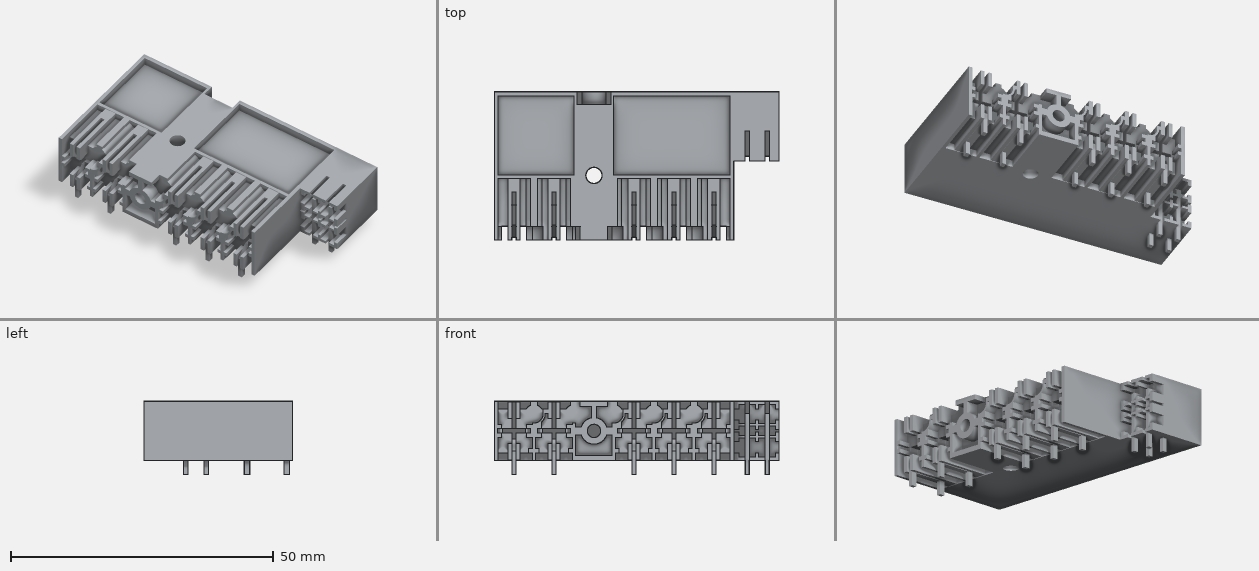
import cadquery as cq

LENGTH = 54.31
DEPTH = 28.3
HEIGHT = 11.3
MID_Z = HEIGHT / 2
PIN_DROP = 2.7
WALL = 0.65
END_WALL = 0.73
OVERLAP = 0.1

PITCH = 7.62
POLE_HALF = 3.03
FIRST_POLE = END_WALL + POLE_HALF
POLES = [FIRST_POLE + PITCH * i for i in (0, 1, 3, 4, 5)]
SCREW_X = FIRST_POLE + PITCH * 2
LAST_POLE = POLES[-1]
POWER_INNER_END = LAST_POLE + POLE_HALF
RIGHT_WALL = 0.78
POWER_END = POWER_INNER_END + RIGHT_WALL

FRONT_Y = 2.65
CHANNEL_Y = 11.78
CHANNEL_DROP = 1.47
CHANNEL_TOP = HEIGHT - CHANNEL_DROP

FIN_HALF = 1.18
FIN_INSET = 0.1
FIN_INNER = 2.37
PIN_WIDTH = 0.82
SLOT_END_Y = 9.22

BLADE_SLOT_HALF_Z = 0.43
BLADE_SLOT_HALF_X = 3.11
BLADE_INNER_HALF_X = 2.21
BLADE_END_Y = 6.7

GAP_OFFSET = PITCH / 2
GAPS = [SCREW_X - GAP_OFFSET, SCREW_X + GAP_OFFSET]
GAPS += [POLES[0] + GAP_OFFSET, POLES[2] + GAP_OFFSET, POLES[3] + GAP_OFFSET]
GUTTER_GAPS = GAPS[1:]
POST_HALF = WALL / 2
SHOULDER_REACH = 1.44
SHOULDER_HALF_Z = 1.23
FOOT_REACH = 1.0
FOOT_HEIGHT = 0.82
RIDGE_R = 1.75
RIDGE_Z = 8.9
GUTTER_OUTER_R = 2.15
POST_TOP = RIDGE_Z - RIDGE_R
BRIDGE_BOTTOM = 9.0
DIVIDER_HALF = 0.65

MOUNT_BOSS_R = 2.54
MOUNT_HOLE_R = 1.27
MOUNT_HOLE_DEPTH = 9.0
MOUNT_ARM_HALF_Z = 0.74
MOUNT_WEB_HALF = 0.49
MOUNT_PLATE_HALF = 2.62
MOUNT_PLATE_THICK = 0.98
MOUNT_FLOOR = 0.98
VERTICAL_HOLE_R = 1.52
VERTICAL_HOLE_Y = 12.35

NOTCH_HALF = 3.27
NOTCH_Y = 25.87
NOTCH_BOSS_R = 2.3

POCKET_FRONT = CHANNEL_Y + WALL
POCKET_REAR_WALL = 0.84
POCKET_BACK = DEPTH - POCKET_REAR_WALL
POCKET_DEPTH = 1.7
POCKET_GAP_HALF = 3.76

SIGNAL_Y = 15.05
SIGNAL_PITCH = PITCH / 2
SIGNAL_END_MARGIN = 2.3
SIGNAL_PINS = [LENGTH - SIGNAL_END_MARGIN - SIGNAL_PITCH, LENGTH - SIGNAL_END_MARGIN]
SIGNAL_MID = sum(SIGNAL_PINS) / 2
SIGNAL_RECESS_Y = 18.1
SIGNAL_SLOT_Y = 20.78
SIGNAL_LIP_EDGE = 1.58
SIGNAL_LIP_HALF = 0.29
SIGNAL_BAR_OFFSET = 1.145
SIGNAL_BAR_HALF = 0.25
SIGNAL_LIP_HALF_Z = 0.9
SIGNAL_PIN_FRONT = 16.0
SIGNAL_PIN_TOP = 9.0
SIGNAL_PIN_WIDTH = 0.8
SIGNAL_LEG = 0.9

PIN_FRONT = 0.55
PIN_LEG = 1.1
PIN_SLOPE_BOTTOM = 1.8
PIN_SLOPE_END = 2.86
PIN_LOW_TOP = 4.09


def block(x0, x1, y0, y1, z0, z1):
    return cq.Workplane("XY").box(x1 - x0, y1 - y0, z1 - z0, centered=False).translate((x0, y0, z0))


def rod(x, z, radius, y0, y1):
    """Cylinder along Y."""
    return cq.Workplane("XZ", origin=(x, y0, z)).circle(radius).extrude(y0 - y1)


def plate(x, width, outline):
    """Upright plate centred on x from a (y, z) outline."""
    return cq.Workplane("YZ", origin=(x - width / 2, 0, 0)).polyline(outline).close().extrude(width)


def join(pieces):
    total = pieces[0]
    for piece in pieces[1:]:
        total = total.union(piece)
    return total


def make_body():
    """L-shaped housing with the front left open and channels above and below the poles."""
    body = block(0, POWER_END, 0, DEPTH, 0, HEIGHT)
    body = body.union(block(POWER_END - OVERLAP, LENGTH, SIGNAL_Y, DEPTH, 0, HEIGHT))
    body = body.cut(block(END_WALL, POWER_INNER_END, 0, FRONT_Y, 0, HEIGHT))
    screw_left, screw_right = GAPS[:2]
    for left, right in ((END_WALL, screw_left), (screw_right, POWER_INNER_END)):
        left_inset = DIVIDER_HALF if left == screw_right else 0
        right_inset = DIVIDER_HALF if right == screw_left else 0
        body = body.cut(block(left + left_inset, right - right_inset,
                              FRONT_Y, CHANNEL_Y, CHANNEL_TOP, HEIGHT))
        left_inset = POST_HALF if left == screw_right else 0
        right_inset = POST_HALF if right == screw_left else 0
        body = body.cut(block(left + left_inset, right - right_inset,
                              FRONT_Y, CHANNEL_Y, 0, CHANNEL_DROP))
    return body


def cut_top_pockets(body):
    floor = HEIGHT - POCKET_DEPTH
    for left, right in ((END_WALL, SCREW_X - POCKET_GAP_HALF), (SCREW_X + POCKET_GAP_HALF, POWER_INNER_END)):
        body = body.cut(block(left, right, POCKET_FRONT, POCKET_BACK, floor, HEIGHT))
    return body


def make_gap(x):
    """Post, feet, shoulders and channel ridge halfway between two poles."""
    frame_back = FRONT_Y + OVERLAP
    pieces = [
        block(x - POST_HALF, x + POST_HALF, 0, CHANNEL_Y + OVERLAP, 0, CHANNEL_TOP - OVERLAP)
        .cut(block(x - POST_HALF, x + POST_HALF, 0, FRONT_Y, POST_TOP, HEIGHT)),
        rod(x, RIDGE_Z, RIDGE_R, FRONT_Y, CHANNEL_Y + OVERLAP),
        block(x - DIVIDER_HALF, x + DIVIDER_HALF, FRONT_Y, CHANNEL_Y + OVERLAP, RIDGE_Z, HEIGHT),
    ]
    low = MID_Z - SHOULDER_HALF_Z
    high = MID_Z + SHOULDER_HALF_Z
    for side in (-1, 1):
        if abs(x + side * GAP_OFFSET - SCREW_X) < OVERLAP:
            continue
        foot = sorted((x, x + side * FOOT_REACH))
        shoulder = sorted((x, x + side * SHOULDER_REACH))
        pieces.append(block(*foot, 0, frame_back, CHANNEL_DROP, CHANNEL_DROP + FOOT_HEIGHT))
        pieces.append(block(*shoulder, 0, frame_back, low, high))
    return join(pieces)


def make_gutter(x):
    """Curved front wall that rises from the post and bridges to the next fin."""
    back = FRONT_Y + OVERLAP
    left = x - POST_HALF
    fin = x + GAP_OFFSET - FIN_HALF
    web_top = RIDGE_Z - RIDGE_R / 2
    wall = rod(x, RIDGE_Z, GUTTER_OUTER_R, 0, back)
    wall = wall.intersect(block(left, fin, 0, back, 0, CHANNEL_TOP))
    wall = wall.union(block(left, x + SHOULDER_REACH, 0, back, MID_Z, web_top))
    wall = wall.union(block(x, fin + OVERLAP, 0, back, BRIDGE_BOTTOM, CHANNEL_TOP))
    wall = wall.cut(rod(x, RIDGE_Z, RIDGE_R, 0, FRONT_Y))
    return wall.cut(block(left, x + RIDGE_R, 0, FRONT_Y, RIDGE_Z, HEIGHT))


def make_end_shoulder(inner, side):
    """Shoulder on the inside of an end wall."""
    reach = POLE_HALF - GAP_OFFSET + SHOULDER_REACH
    span = sorted((inner, inner + side * reach))
    return block(*span, 0, FRONT_Y + OVERLAP, MID_Z - SHOULDER_HALF_Z, MID_Z + SHOULDER_HALF_Z)


def make_fins(x):
    """Upper and lower fin pairs, still solid where the pin slot will pass."""
    upper = block(x - FIN_HALF, x + FIN_HALF, 0, CHANNEL_Y + OVERLAP, MID_Z + FIN_INNER, HEIGHT - FIN_INSET)
    lower = block(x - FIN_HALF, x + FIN_HALF, 0, CHANNEL_Y + OVERLAP, FIN_INSET, MID_Z - FIN_INNER)
    return upper.union(lower)


def cut_pole_slots(body, x):
    low = MID_Z - BLADE_SLOT_HALF_Z
    high = MID_Z + BLADE_SLOT_HALF_Z
    half_pin = PIN_WIDTH / 2
    body = body.cut(block(x - half_pin, x + half_pin, 0, SLOT_END_Y, 0, HEIGHT))
    body = body.cut(block(x - BLADE_SLOT_HALF_X, x + BLADE_SLOT_HALF_X, 0, FRONT_Y, low, high))
    return body.cut(block(x - BLADE_INNER_HALF_X, x + BLADE_INNER_HALF_X, 0, BLADE_END_Y, low, high))


def make_power_pin(x):
    """Contact plate with a sloped nose and two solder legs."""
    contact_top = MID_Z + BLADE_SLOT_HALF_Z
    outline = [
        (PIN_FRONT, -PIN_DROP), (PIN_FRONT, PIN_SLOPE_BOTTOM), (PIN_SLOPE_END, PIN_LOW_TOP),
        (BLADE_END_Y, PIN_LOW_TOP), (BLADE_END_Y, contact_top), (SLOT_END_Y, contact_top),
        (SLOT_END_Y, -PIN_DROP), (SLOT_END_Y - PIN_LEG, -PIN_DROP), (SLOT_END_Y - PIN_LEG, 0),
        (PIN_FRONT + PIN_LEG, 0), (PIN_FRONT + PIN_LEG, -PIN_DROP),
    ]
    return plate(x, PIN_WIDTH, outline)


def make_screw_mount():
    """Boxed screw boss in the middle of the front frame."""
    back = FRONT_Y + OVERLAP
    left = SCREW_X - GAP_OFFSET
    right = SCREW_X + GAP_OFFSET
    return join([
        rod(SCREW_X, MID_Z, MOUNT_BOSS_R, 0, back),
        block(left, right, 0, back, MID_Z - MOUNT_ARM_HALF_Z, MID_Z + MOUNT_ARM_HALF_Z),
        block(left, right, 0, back, 0, MOUNT_FLOOR),
        block(SCREW_X - MOUNT_WEB_HALF, SCREW_X + MOUNT_WEB_HALF, 0, back, MID_Z, HEIGHT),
        block(SCREW_X - MOUNT_PLATE_HALF, SCREW_X + MOUNT_PLATE_HALF, 0, back,
              HEIGHT - MOUNT_PLATE_THICK, HEIGHT),
    ])


def cut_screw_features(body):
    """Blind screw hole, vertical hole and the back notch with its half-round boss."""
    body = body.cut(block(SCREW_X - NOTCH_HALF, SCREW_X + NOTCH_HALF, NOTCH_Y, DEPTH, MID_Z, HEIGHT))
    body = body.union(rod(SCREW_X, MID_Z, NOTCH_BOSS_R, NOTCH_Y - OVERLAP, DEPTH))
    body = body.cut(rod(SCREW_X, MID_Z, MOUNT_HOLE_R, 0, MOUNT_HOLE_DEPTH))
    hole = cq.Workplane("XY").center(SCREW_X, VERTICAL_HOLE_Y).circle(VERTICAL_HOLE_R).extrude(HEIGHT)
    return body.cut(hole)


def cut_signal_recess(body):
    """Open the front of the signal block, leaving plates, bars and lips."""
    recess = block(POWER_END, LENGTH, SIGNAL_Y, SIGNAL_RECESS_Y, WALL, HEIGHT - WALL)
    bar_levels = (MID_Z - SIGNAL_BAR_OFFSET, MID_Z + SIGNAL_BAR_OFFSET)
    lip_spans = (
        (POWER_END, SIGNAL_PINS[0] - SIGNAL_LIP_EDGE),
        (SIGNAL_MID - SIGNAL_LIP_HALF, SIGNAL_MID + SIGNAL_LIP_HALF),
        (SIGNAL_PINS[1] + SIGNAL_LIP_EDGE, LENGTH),
    )
    for z in bar_levels:
        recess = recess.cut(block(POWER_END, LENGTH, SIGNAL_Y, SIGNAL_RECESS_Y,
                                  z - SIGNAL_BAR_HALF, z + SIGNAL_BAR_HALF))
    lip_heights = [(z - SIGNAL_LIP_HALF_Z, z + SIGNAL_LIP_HALF_Z) for z in bar_levels]
    lip_heights += [(0, CHANNEL_DROP), (CHANNEL_TOP, HEIGHT)]
    for left, right in lip_spans:
        for low, high in lip_heights:
            recess = recess.cut(block(left, right, SIGNAL_Y, SIGNAL_RECESS_Y, low, high))
    body = body.cut(recess)
    half_pin = SIGNAL_PIN_WIDTH / 2
    for x in SIGNAL_PINS:
        body = body.cut(block(x - half_pin, x + half_pin, SIGNAL_Y, SIGNAL_SLOT_Y, 0, HEIGHT))
    return body


def make_signal_pin(x):
    outline = [
        (SIGNAL_PIN_FRONT, -PIN_DROP), (SIGNAL_PIN_FRONT, SIGNAL_PIN_TOP),
        (SIGNAL_SLOT_Y, SIGNAL_PIN_TOP), (SIGNAL_SLOT_Y, -PIN_DROP),
        (SIGNAL_SLOT_Y - SIGNAL_LEG, -PIN_DROP), (SIGNAL_SLOT_Y - SIGNAL_LEG, 0),
        (SIGNAL_PIN_FRONT + SIGNAL_LEG, 0), (SIGNAL_PIN_FRONT + SIGNAL_LEG, -PIN_DROP),
    ]
    return plate(x, SIGNAL_PIN_WIDTH, outline)


housing = cut_top_pockets(make_body())
frame = [make_gap(x) for x in GAPS]
frame += [make_gutter(x) for x in GUTTER_GAPS]
frame += [make_fins(x) for x in POLES]
frame += [make_end_shoulder(END_WALL, 1), make_end_shoulder(POWER_INNER_END, -1), make_screw_mount()]
housing = join([housing] + frame)
housing = cut_signal_recess(cut_screw_features(housing))
for pole_x in POLES:
    housing = cut_pole_slots(housing, pole_x)
pins = [make_power_pin(x) for x in POLES] + [make_signal_pin(x) for x in SIGNAL_PINS]
result = join([housing] + pins)